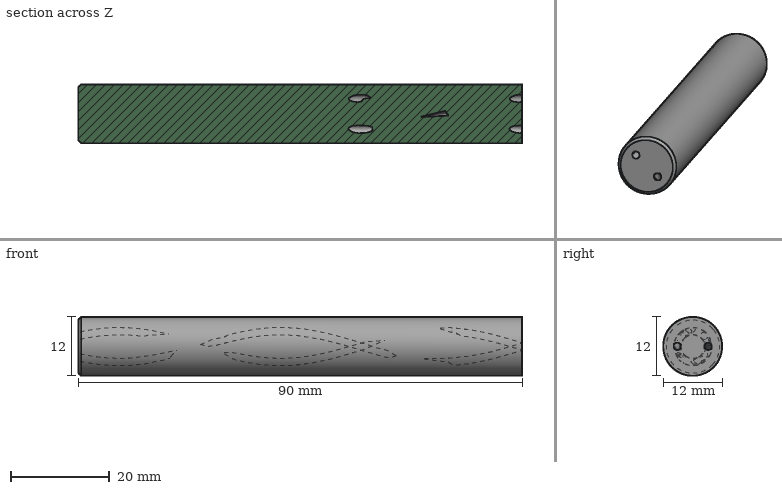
import cadquery as cq
import math

rod_length = 90.0
rod_diameter = 12.0
chamfer_size = 0.6

channel_count = 2
channel_diameter = 1.5
channel_circle_diameter = 6.25
helix_angle = 30.0

overrun = 2.0
cutter_length = rod_length + 2 * overrun

full_turn = 360.0
helix_lead = math.pi * rod_diameter / math.tan(math.radians(helix_angle))
cutter_twist = full_turn * cutter_length / helix_lead
start_angle = -full_turn * (rod_length + overrun) / helix_lead


def make_rod():
    """Cylinder along X, chamfered at its X = 0 end only."""
    rod = cq.Workplane("YZ").circle(rod_diameter / 2).extrude(rod_length)
    return rod.faces("<X").edges().chamfer(chamfer_size)


def make_channel_cutter(angle):
    """Right-hand helical cutter whose centre starts at the given angle from +Y towards +Z."""
    radius = channel_circle_diameter / 2
    centre_y = radius * math.cos(math.radians(angle))
    centre_z = radius * math.sin(math.radians(angle))
    section = cq.Workplane("YZ", origin=(-overrun, 0, 0)).pushPoints([(centre_y, centre_z)])
    return section.circle(channel_diameter / 2).twistExtrude(cutter_length, cutter_twist)


result = make_rod()
for index in range(channel_count):
    result = result.cut(make_channel_cutter(start_angle + index * full_turn / channel_count))